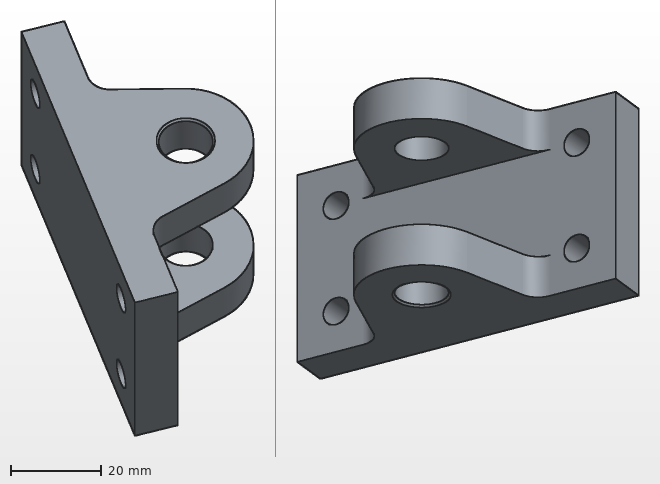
import cadquery as cq
import math

plate_length = 82.0
plate_height = 46.0
plate_thickness = 10.0

mount_hole_diameter = 6.6
mount_spacing_x = 62.0
mount_spacing_z = 26.0

lug_thickness = 10.0
lug_radius = 15.0
pin_y = 25.0
flank_angle = math.radians(17)
root_fillet = 5.0
pin_bore_diameter = 12.0
pin_bore_chamfer = 0.5


def make_plate():
    plate = cq.Workplane("XY").box(
        plate_length, plate_thickness, plate_height, centered=(True, False, True)
    )
    holes = (
        cq.Workplane("XZ")
        .rarray(mount_spacing_x, mount_spacing_z, 2, 2)
        .circle(mount_hole_diameter / 2)
        .extrude(-plate_thickness)
    )
    return plate.cut(holes)


def make_lug(bottom_z):
    """Rounded lug whose flanks are tangent to its nose and filleted into the plate."""
    sine = math.sin(flank_angle)
    cosine = math.cos(flank_angle)
    nose_x = lug_radius * cosine
    nose_y = pin_y + lug_radius * sine

    fillet_y = plate_thickness + root_fillet
    fillet_x = (lug_radius + root_fillet + (pin_y - fillet_y) * sine) / cosine
    flank_x = fillet_x - root_fillet * cosine
    flank_y = fillet_y - root_fillet * sine

    middle_angle = (flank_angle + math.pi / 2) / 2
    middle_x = fillet_x - root_fillet * math.cos(middle_angle)
    middle_y = fillet_y - root_fillet * math.sin(middle_angle)

    return (
        cq.Workplane("XY", origin=(0, 0, bottom_z))
        .moveTo(-fillet_x, plate_thickness)
        .threePointArc((-middle_x, middle_y), (-flank_x, flank_y))
        .lineTo(-nose_x, nose_y)
        .threePointArc((0, pin_y + lug_radius), (nose_x, nose_y))
        .lineTo(flank_x, flank_y)
        .threePointArc((middle_x, middle_y), (fillet_x, plate_thickness))
        .lineTo(fillet_x, 0)
        .lineTo(-fillet_x, 0)
        .close()
        .extrude(lug_thickness)
    )


def make_pin_bore():
    """Bore through both lugs, widened by a chamfer at each outer face."""
    bore_radius = pin_bore_diameter / 2
    mouth_radius = bore_radius + pin_bore_chamfer
    half_height = plate_height / 2
    chamfer_z = half_height - pin_bore_chamfer
    return (
        cq.Workplane("XZ", origin=(0, pin_y, 0))
        .moveTo(0, -half_height)
        .lineTo(mouth_radius, -half_height)
        .lineTo(bore_radius, -chamfer_z)
        .lineTo(bore_radius, chamfer_z)
        .lineTo(mouth_radius, half_height)
        .lineTo(0, half_height)
        .close()
        .revolve(360, (0, 0, 0), (0, 1, 0))
    )


lugs = make_lug(-plate_height / 2).union(make_lug(plate_height / 2 - lug_thickness))
result = make_plate().union(lugs).cut(make_pin_bore())